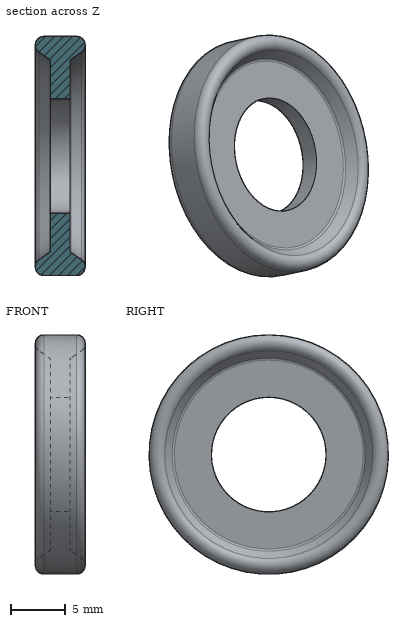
import cadquery as cq
import math

outer_radius = 11.0
bore_radius = 5.25
width = 4.6
web_thickness = 1.8
rim_radius = 0.8
corner_radius = 0.25
wall_angle = math.radians(35)

half_width = width / 2
half_web = web_thickness / 2


def arc_point(center, radius, angle):
    """Point on an arc, as (axial, radial); the angle is measured from +axial toward +radial."""
    return (center[0] + radius * math.cos(angle), center[1] + radius * math.sin(angle))


def mirrored(point):
    """Matching point on the other side of the mid-plane."""
    return (-point[0], point[1])


def ring_section():
    """Section of the ring as (axial, radial), symmetric about the mid-plane at axial 0."""
    outer_normal = math.pi / 2
    web_normal = math.pi
    rim_normal = wall_angle - math.pi / 2
    corner_normal = rim_normal + math.pi

    rim_center = (half_width - rim_radius, outer_radius - rim_radius)
    rim_start = arc_point(rim_center, rim_radius, outer_normal)
    rim_middle = arc_point(rim_center, rim_radius, (outer_normal + rim_normal) / 2)
    rim_end = arc_point(rim_center, rim_radius, rim_normal)

    corner_axial = half_web + corner_radius
    wall_end_axial = corner_axial + corner_radius * math.cos(corner_normal)
    wall_end_radial = rim_end[1] - (rim_end[0] - wall_end_axial) * math.tan(wall_angle)
    wall_end = (wall_end_axial, wall_end_radial)
    corner_center = (corner_axial, wall_end_radial - corner_radius * math.sin(corner_normal))
    corner_middle = arc_point(corner_center, corner_radius, (corner_normal + web_normal) / 2)
    corner_end = arc_point(corner_center, corner_radius, web_normal)

    bore_edge = (half_web, bore_radius)

    return (
        cq.Workplane("XZ")
        .moveTo(*mirrored(rim_start))
        .lineTo(*rim_start)
        .threePointArc(rim_middle, rim_end)
        .lineTo(*wall_end)
        .threePointArc(corner_middle, corner_end)
        .lineTo(*bore_edge)
        .lineTo(*mirrored(bore_edge))
        .lineTo(*mirrored(corner_end))
        .threePointArc(mirrored(corner_middle), mirrored(wall_end))
        .lineTo(*mirrored(rim_end))
        .threePointArc(mirrored(rim_middle), mirrored(rim_start))
        .close()
    )


def ring():
    """The section turned about the X axis, then moved so that its first rim is at X = 0."""
    turned = ring_section().revolve(360, (0, 0, 0), (1, 0, 0))
    return turned.translate((half_width, 0, 0))


result = ring()